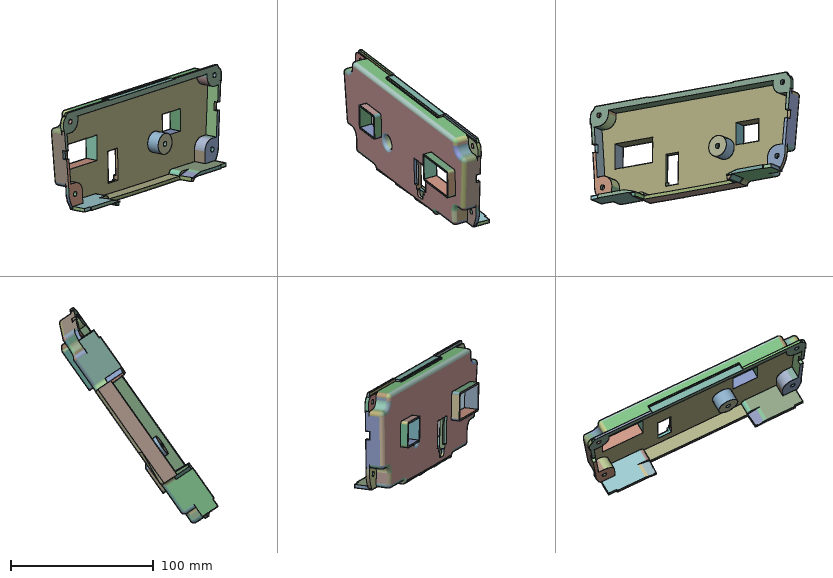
import cadquery as cq
import math

TILT = 1.27
DEPTH = 13.7
WALL = 2.5
FRONT_WALL = 4.1
EDGE_ROUND = 2.7
CORNER_ROUND = 2.9

TOP = 72.5
HALF_WIDTH_TOP = 85.8
HALF_WIDTH_LOW = 81.4
BOTTOM_STEP = 3.3
BELLY_HALF = 41.1
BELLY_EDGE = 0.25
BELLY_STEP_RADIUS = BOTTOM_STEP - BELLY_EDGE

EAR_FRONT = 11.0
EAR_RADIUS = 5.5
SCREW_RADIUS = 1.7
UPPER_SCREW = (78.3, 67.5)
LOWER_SCREW = (74.5, 14.4)
EAR_LOW_TOP = LOWER_SCREW[1] + EAR_RADIUS
EAR_SHELF = UPPER_SCREW[1] - EAR_RADIUS
EAR_HALF_WIDTH = 85.7
EAR_CORNER_RADIUS = 5.0
EAR_FOOT_HALF = 76.2
EAR_FOOT = 3.5
EAR_BEND = 15.5
EAR_BULGE = (79.8, 9.6)

LIP_FRONT = 12.0
LIP_TOP = 74.4
LIP_HALF = 81.5
LIP_CORNER = (83.3, 71.8)
LIP_FOOT = 65.5
CENTRE_LIP_FRONT = 7.2
CENTRE_LIP_HALF = 36.0
CENTRE_LIP_TOP = 73.8
CENTRE_LEDGE = 1.4
CENTRE_LEDGE_TOP = 73.5

NOTCH_BOTTOM = 41.0
NOTCH_TOP = 47.1
NOTCH_FRONT = 10.6

COLLARS = [
    (42.1, 39.2, 21.8, 18.7, 5.5),
    (-54.8, 38.5, 34.5, 20.7, 6.0),
]
COLLAR_WALL = 1.2
COLLAR_ROUND = 1.7

SEAT_CENTRE = (23.56, 29.5)
SEAT_RADIUS = 5.0
SEAT_ROUND = 2.2

SLOT_Y = -21.85
SLOT_TOP = 33.4
SLOT_WIDTH = 10.5
SLOT_BOTTOM = 10.3
LEDGE_WIDTH = 15.6
LEDGE_BOTTOM = 13.4
LEDGE_DEPTH = 1.9
THUMB_WIDTH = 7.5
THUMB_BOTTOM = 5.7
THUMB_ROUND = 2.0

FOOT_OUTER = 77.0
FOOT_INNER = 38.5
FOOT_DRAFT = 0.9
FOOT_BASE_END = 24.0
FOOT_LIP_END = 25.0
FOOT_LIP_OUTER = 70.5
FOOT_TOP = 5.8
FOOT_BEND_OUTER = 48.1
FOOT_BEND_INNER = 45.5
FOOT_BEND_DROP = 0.7
FOOT_DROP = 2.7
FOOT_LIP_BOTTOM = 2.9


def plane_at(depth):
    """Sketch plane across the part: local x is Y, local y is Z, extrusion runs to the rear."""
    return cq.Workplane("YZ", origin=(depth, 0, 0))


def box(depth_start, depth_end, y_centre, width, bottom, top):
    return (
        plane_at(depth_start)
        .center(y_centre, (bottom + top) / 2)
        .rect(width, top - bottom)
        .extrude(depth_end - depth_start)
    )


def both_sides(shape):
    return shape.union(shape.mirror("XZ"))


def side_half_width(height):
    """Half width of the tapering tray at a height."""
    share = (height - EAR_LOW_TOP) / (TOP - EAR_LOW_TOP)
    return HALF_WIDTH_LOW + share * (HALF_WIDTH_TOP - HALF_WIDTH_LOW)


def tray_outline(depth, inset=0.0):
    """Tray outline with the four scooped corners, moved inward by `inset`."""
    scoop = EAR_RADIUS + inset
    diagonal = scoop * math.sqrt(0.5)
    upper_y, upper_z = UPPER_SCREW
    lower_y, lower_z = LOWER_SCREW
    upper_side = side_half_width(upper_z - scoop) - inset
    lower_side = side_half_width(lower_z + scoop) - inset
    step = BELLY_STEP_RADIUS
    step_mid = step * math.sqrt(0.5)
    belly = BELLY_HALF - inset
    edge = BELLY_EDGE + inset
    floor = BOTTOM_STEP + inset
    return (
        plane_at(depth)
        .moveTo(-(upper_y - scoop), TOP - inset)
        .lineTo(upper_y - scoop, TOP - inset)
        .lineTo(upper_y - scoop, upper_z)
        .threePointArc((upper_y - diagonal, upper_z - diagonal), (upper_y, upper_z - scoop))
        .lineTo(upper_side, upper_z - scoop)
        .lineTo(lower_side, lower_z + scoop)
        .lineTo(lower_y, lower_z + scoop)
        .threePointArc((lower_y - diagonal, lower_z + diagonal), (lower_y - scoop, lower_z))
        .lineTo(lower_y - scoop, floor)
        .lineTo(belly + step, floor)
        .threePointArc((belly + step - step_mid, edge + step_mid), (belly, edge))
        .threePointArc((0, inset), (-belly, edge))
        .threePointArc((step_mid - belly - step, edge + step_mid), (-belly - step, floor))
        .lineTo(scoop - lower_y, floor)
        .lineTo(scoop - lower_y, lower_z)
        .threePointArc((diagonal - lower_y, lower_z + diagonal), (-lower_y, lower_z + scoop))
        .lineTo(-lower_side, lower_z + scoop)
        .lineTo(-upper_side, upper_z - scoop)
        .lineTo(-upper_y, upper_z - scoop)
        .threePointArc((diagonal - upper_y, upper_z - diagonal), (scoop - upper_y, upper_z))
        .close()
    )


def tray():
    corners = [
        (UPPER_SCREW[0] - EAR_RADIUS, TOP),
        (side_half_width(EAR_SHELF), EAR_SHELF),
        (HALF_WIDTH_LOW, EAR_LOW_TOP),
        (LOWER_SCREW[0] - EAR_RADIUS, BOTTOM_STEP),
    ]
    body = tray_outline(0).extrude(DEPTH)
    for y, z in corners:
        for side in (-1, 1):
            corner = cq.selectors.NearestToPointSelector((DEPTH / 2, side * y, z))
            body = body.edges(corner).fillet(CORNER_ROUND)
    return body.faces("<X").edges().fillet(EDGE_ROUND)


def ears():
    """Rear corner plates; the two on each side are drawn as one plate reaching into the tray."""
    corner_mid = EAR_CORNER_RADIUS * (1 - math.sqrt(0.5))
    inner_y = LOWER_SCREW[0] - EAR_RADIUS - WALL
    plate = (
        plane_at(EAR_FRONT)
        .moveTo(inner_y, TOP)
        .lineTo(EAR_HALF_WIDTH - EAR_CORNER_RADIUS, TOP)
        .threePointArc(
            (EAR_HALF_WIDTH - corner_mid, TOP - corner_mid),
            (EAR_HALF_WIDTH, TOP - EAR_CORNER_RADIUS),
        )
        .lineTo(EAR_HALF_WIDTH, EAR_SHELF)
        .lineTo(side_half_width(EAR_SHELF), EAR_SHELF)
        .lineTo(HALF_WIDTH_LOW, EAR_LOW_TOP)
        .lineTo(HALF_WIDTH_LOW, EAR_BEND)
        .threePointArc(EAR_BULGE, (EAR_FOOT_HALF, EAR_FOOT))
        .lineTo(inner_y, EAR_FOOT)
        .close()
        .extrude(DEPTH - EAR_FRONT)
    )
    return both_sides(plate)


def top_lip():
    base = TOP - WALL
    side = (
        plane_at(LIP_FRONT)
        .polyline([
            (CENTRE_LIP_HALF, base),
            (CENTRE_LIP_HALF, LIP_TOP),
            (LIP_HALF, LIP_TOP),
            LIP_CORNER,
            (EAR_HALF_WIDTH, LIP_FOOT),
            (LIP_HALF, LIP_FOOT),
            (LIP_HALF, base),
        ])
        .close()
        .extrude(DEPTH - LIP_FRONT)
    )
    width = 2 * CENTRE_LIP_HALF
    ledge = box(CENTRE_LIP_FRONT, DEPTH, 0, width, base, CENTRE_LEDGE_TOP)
    centre = box(CENTRE_LIP_FRONT + CENTRE_LEDGE, DEPTH, 0, width, base, CENTRE_LIP_TOP)
    return both_sides(side).union(ledge).union(centre)


def feet():
    """Pair of stepped tongues behind the underside, longer at their upper lip."""
    profile = (
        plane_at(EAR_FRONT)
        .polyline([
            (FOOT_OUTER, FOOT_TOP),
            (FOOT_BEND_OUTER, FOOT_TOP),
            (FOOT_BEND_INNER, FOOT_TOP - FOOT_BEND_DROP),
            (FOOT_INNER, FOOT_TOP - FOOT_DROP),
            (FOOT_INNER, BELLY_EDGE),
            (BELLY_HALF, BELLY_EDGE),
            (BELLY_HALF + BELLY_STEP_RADIUS, BOTTOM_STEP),
            (FOOT_OUTER, BOTTOM_STEP),
        ])
        .close()
        .extrude(FOOT_LIP_END - EAR_FRONT)
    )
    plan = (
        cq.Workplane("XY")
        .polyline([
            (EAR_FRONT, FOOT_INNER),
            (FOOT_LIP_END, FOOT_INNER + FOOT_DRAFT),
            (FOOT_LIP_END, FOOT_LIP_OUTER),
            (FOOT_BASE_END, FOOT_LIP_OUTER),
            (FOOT_BASE_END, FOOT_OUTER),
            (EAR_FRONT, FOOT_OUTER),
        ])
        .close()
        .extrude(FOOT_TOP)
    )
    under_lip = box(FOOT_BASE_END, FOOT_LIP_END, FOOT_OUTER / 2, FOOT_OUTER, 0, FOOT_LIP_BOTTOM)
    return both_sides(profile.intersect(plan).cut(under_lip))


def collar(y, z, width, height, protrusion):
    return (
        plane_at(-protrusion)
        .center(y, z)
        .rect(width, height)
        .extrude(protrusion + FRONT_WALL)
        .edges("|X")
        .fillet(COLLAR_ROUND)
    )


def collar_window(y, z, width, height, protrusion):
    return (
        plane_at(-protrusion)
        .center(y, z)
        .rect(width - 2 * COLLAR_WALL, height - 2 * COLLAR_WALL)
        .extrude(protrusion + DEPTH)
    )


def seat_post():
    return plane_at(0).center(*SEAT_CENTRE).circle(SEAT_RADIUS + WALL).extrude(DEPTH)


def seat_recess():
    """Turned cutter: screw hole, flat-bottomed recess and a rounded entry."""
    arc_offset = SEAT_ROUND * (1 - math.sqrt(0.5))
    return (
        cq.Workplane("XY")
        .moveTo(0, 0)
        .lineTo(0, SEAT_RADIUS + SEAT_ROUND)
        .threePointArc(
            (arc_offset, SEAT_RADIUS + arc_offset),
            (SEAT_ROUND, SEAT_RADIUS),
        )
        .lineTo(EAR_FRONT, SEAT_RADIUS)
        .lineTo(EAR_FRONT, SCREW_RADIUS)
        .lineTo(DEPTH, SCREW_RADIUS)
        .lineTo(DEPTH, 0)
        .close()
        .revolve(360, (0, 0, 0), (1, 0, 0))
        .translate((0, *SEAT_CENTRE))
    )


def latch_slot():
    through = box(0, DEPTH, SLOT_Y, SLOT_WIDTH, SLOT_BOTTOM, SLOT_TOP)
    ledges = box(0, LEDGE_DEPTH, SLOT_Y, LEDGE_WIDTH, LEDGE_BOTTOM, SLOT_TOP)
    thumb = box(0, LEDGE_DEPTH, SLOT_Y, THUMB_WIDTH, THUMB_BOTTOM, SLOT_BOTTOM)
    thumb = thumb.faces("<Z").edges("|X").fillet(THUMB_ROUND)
    return through.union(ledges).union(thumb)


def screw_holes():
    centres = [(side * y, z) for side in (-1, 1) for y, z in (UPPER_SCREW, LOWER_SCREW)]
    return plane_at(0).pushPoints(centres).circle(SCREW_RADIUS).extrude(DEPTH)


def side_notches():
    return box(NOTCH_FRONT, DEPTH, 0, 2 * EAR_HALF_WIDTH, NOTCH_BOTTOM, NOTCH_TOP)


cavity = tray_outline(FRONT_WALL, WALL).extrude(DEPTH - FRONT_WALL)
cover = tray().union(ears()).union(top_lip()).union(feet()).cut(cavity).cut(side_notches())
cover = cover.union(seat_post())
for sizes in COLLARS:
    cover = cover.union(collar(*sizes)).cut(collar_window(*sizes))
cover = cover.cut(seat_recess()).cut(latch_slot()).cut(screw_holes())

result = cover.rotate((0, 0, 0), (0, 1, 0), -TILT)